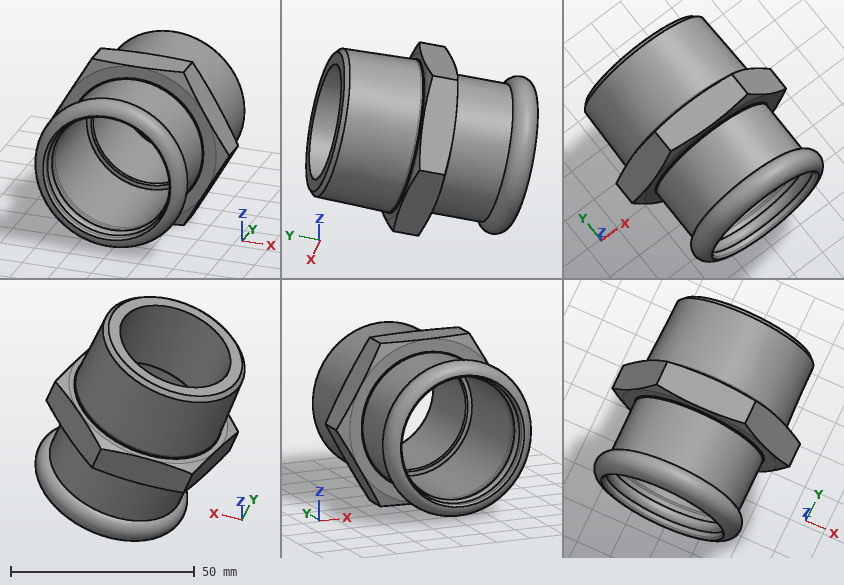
import cadquery as cq
import math

LENGTH = 55.0
BEAD_WIDTH = 7.4
HEX_START = 24.0
HEX_END = 33.0
COLLAR_WIDTH = 0.95
THREAD_CHAMFER_START = 53.8

TUBE_RADIUS = 38.4 / 2
BEAD_RADIUS = 21.85
NECK_RADIUS = 19.4
NECK_WIDTH = 0.4
COLLAR_RADIUS = 42.4 / 2
COLLAR_FOOT_RADIUS = 21.4
COLLAR_FOOT_WIDTH = 0.35
THREAD_END_RADIUS = 20.55
THREAD_TIP_RADIUS = 19.35

HEX_FLATS = 46.0
HEX_CORNERS = HEX_FLATS / math.cos(math.pi / 6)
HEX_CHAMFER_ANGLE = math.radians(15)

BORE_RADIUS = 32.0 / 2
SOCKET_RADIUS = 35.4 / 2
SOCKET_DEPTH = 33.0
STOP_INNER_RADIUS = 16.45
STOP_CHAMFER = STOP_INNER_RADIUS - BORE_RADIUS
MOUTH_RADIUS = 35.8 / 2
LIP_RADIUS = 0.7
LIP_LAND_END = 2.1
SEAL_INNER_RADIUS = 17.3
SEAL_END = 5.15
MOUTH_END = 6.7
MOUTH_TAPER_END = 7.3


def revolve_profile(profile):
    """Revolve a closed (radius, axial position) profile about the Y axis."""
    return profile.close().revolve(360, (0, 0, 0), (0, 1, 0))


def make_body():
    """Tube with rolled bead, collar and tapered threaded end, without the bore."""
    bead_half = BEAD_WIDTH / 2
    bead_centre = BEAD_RADIUS - bead_half
    bead_back = (TUBE_RADIUS, bead_half + math.sqrt(bead_half**2 - (TUBE_RADIUS - bead_centre)**2))
    profile = (
        cq.Workplane("XY")
        .lineTo(bead_centre, 0)
        .threePointArc((BEAD_RADIUS, bead_half), bead_back)
        .lineTo(TUBE_RADIUS, HEX_START - NECK_WIDTH)
        .lineTo(NECK_RADIUS, HEX_START)
        .lineTo(NECK_RADIUS, HEX_END)
        .lineTo(COLLAR_FOOT_RADIUS, HEX_END)
        .lineTo(COLLAR_RADIUS, HEX_END + COLLAR_FOOT_WIDTH)
        .lineTo(COLLAR_RADIUS, HEX_END + COLLAR_WIDTH)
        .lineTo(THREAD_END_RADIUS, THREAD_CHAMFER_START)
        .lineTo(THREAD_TIP_RADIUS, LENGTH)
        .lineTo(0, LENGTH)
    )
    return revolve_profile(profile)


def make_hexagon():
    """Wrench hexagon with its corners chamfered on both faces."""
    width = HEX_END - HEX_START
    prism = (
        cq.Workplane("XZ", origin=(0, HEX_END, 0))
        .polygon(6, HEX_CORNERS)
        .extrude(width)
    )
    flat_radius = HEX_FLATS / 2
    corner_radius = HEX_CORNERS / 2
    drop = (corner_radius - flat_radius) * math.tan(HEX_CHAMFER_ANGLE)
    envelope = (
        cq.Workplane("XY")
        .moveTo(0, HEX_START)
        .lineTo(flat_radius, HEX_START)
        .lineTo(corner_radius, HEX_START + drop)
        .lineTo(corner_radius, HEX_END - drop)
        .lineTo(flat_radius, HEX_END)
        .lineTo(0, HEX_END)
    )
    return prism.intersect(revolve_profile(envelope))


def make_bore():
    """Rounded mouth, seal bulge, socket, pipe stop and through bore."""
    lip_diagonal = LIP_RADIUS * (1 - math.sqrt(0.5))
    seal_middle = (LIP_LAND_END + SEAL_END) / 2
    profile = (
        cq.Workplane("XY")
        .lineTo(MOUTH_RADIUS + LIP_RADIUS, 0)
        .threePointArc((MOUTH_RADIUS + lip_diagonal, lip_diagonal), (MOUTH_RADIUS, LIP_RADIUS))
        .lineTo(MOUTH_RADIUS, LIP_LAND_END)
        .threePointArc((SEAL_INNER_RADIUS, seal_middle), (MOUTH_RADIUS, SEAL_END))
        .lineTo(MOUTH_RADIUS, MOUTH_END)
        .lineTo(SOCKET_RADIUS, MOUTH_TAPER_END)
        .lineTo(SOCKET_RADIUS, SOCKET_DEPTH)
        .lineTo(STOP_INNER_RADIUS, SOCKET_DEPTH)
        .lineTo(BORE_RADIUS, SOCKET_DEPTH + STOP_CHAMFER)
        .lineTo(BORE_RADIUS, LENGTH)
        .lineTo(0, LENGTH)
    )
    return revolve_profile(profile)


result = make_body().union(make_hexagon()).cut(make_bore()).translate((0, -LENGTH / 2, 0))